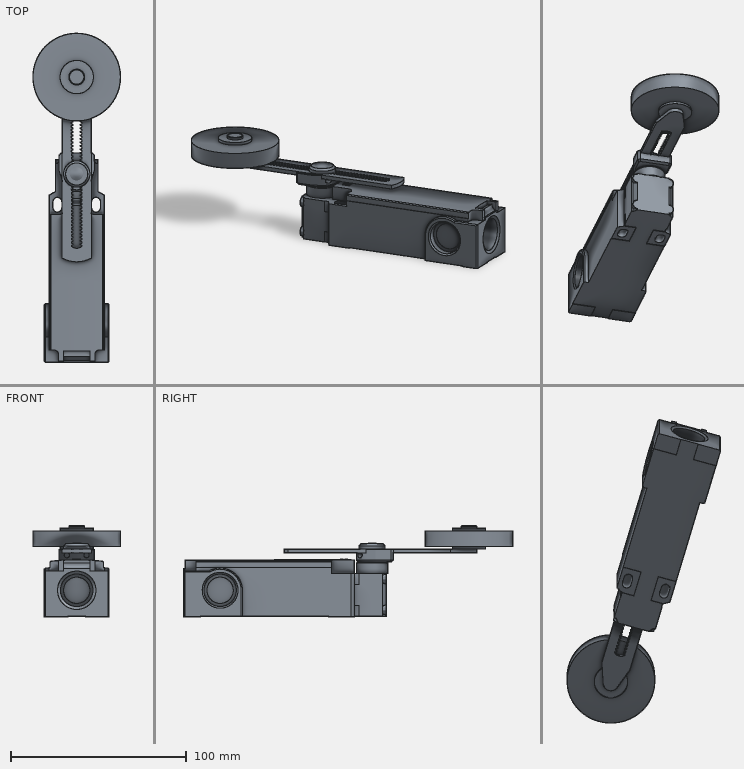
import cadquery as cq
import math


BODY_LENGTH = 97.3
BODY_HALF_WIDTH = 15.7
BODY_TOP = 28.1
SHOULDER_TOP = 24.8
SHOULDER_START = 84.3
BODY_NOSE_WIDTH = 24.4
NOSE_TAPER = 2.0

FOOT_HEIGHT = 0.35
FRONT_FOOT_LENGTH = 9.6
REAR_FOOT_LENGTH = 14.8
FOOT_CHANNEL_WIDTH = 10.2

WIDE_HALF_WIDTH = 18.5
LEDGE_TOP = 26.2
EDGE_CHAMFER = 0.7
PORT_Y = 20.8
PORT_Z = 15.2
PORT_BOSS_RADIUS = 12.7
PORT_RIM_DIAMETER = 20.4
PORT_BORE_DIAMETER = 18.5
PORT_FLOOR_DIAMETER = 15.0
SIDE_PORT_DEPTH = 5.0
FRONT_RIM_DIAMETER = 21.85
FRONT_PORT_DEPTH = 10.5
PORT_RIM_DEPTH = 0.8
PORT_FLOOR_STEP = 0.2

MOUNT_SLOT_X = 11.0
MOUNT_SLOT_Y = 89.8
MOUNT_SLOT_WIDTH = 5.0
MOUNT_SLOT_LENGTH = 8.3

LID_HALF_WIDTH = 15.3
LID_EDGE_TOP = 31.8
LID_EDGE_BEVEL = 0.6
LID_CROWN_TOP = 32.6
LID_TONGUE_HALF_WIDTH = 7.0
LID_TONGUE_RADIUS = 3.0
LID_FRONT_HALF_WIDTH = 10.3
LID_CORNER_DEPTH = 7.1
LID_CORNER_RADIUS = 2.8
LID_EAR_START = 0.8
LATCH_HALF_WIDTH = 7.5
LATCH_LENGTH = 6.4
LATCH_FLOOR = 29.8
LATCH_RIDGE = (3.4, 30.8)
LATCH_LIP = (1.1, 27.5)
LATCH_HOLLOW = 0.5
TAB_SIZE = (4.6, 4.0)
TAB_Y = 91.3
TAB_TOP = 33.1
TAB_GROOVE_WIDTH = 1.2

HEAD_HALF_WIDTH = 12.2
HEAD_END = 113.2
HEAD_PLATE_END = 115.5
HEAD_PLATE_BASE_HALF = 11.2
HEAD_SCREW_DIAMETER = 5.6
HEAD_SCREW_X = 9.2
HEAD_SCREW_Z = (4.0, 21.6)
HEAD_NOTCH_LENGTH = 2.7
HEAD_NOTCH_DEPTH = 0.2
HEAD_KEY_Z = (6.6, 18.5)

PIVOT_Y = 107.3
HUB_DIAMETER = 18.0
HUB_TOP = 30.7
NECK_DIAMETER = 17.0
CLAMP_BOTTOM = 31.4
CLAMP_TOP = 38.3
CLAMP_END = 119.4
CLAMP_HALF_WIDTH = 10.1
CLAMP_STRAIGHT_START = 109.5
CLAMP_WAIST_DROP = 2.5
CLAMP_CHAMFER = 1.4
CLAMP_BASE_CHAMFER = 1.1
CLAMP_HOLE_DIAMETER = 3.0
CLAMP_HOLE_X = 5.6
CLAMP_HOLE_Z = 35.2
CLAMP_HOLE_DEPTH = 6.0

ARM_BOTTOM = 36.5
ARM_TOP = 38.7
ARM_HALF_WIDTH = 8.3
ARM_START = 57.3
ARM_END_SAGITTA = 2.1
ARM_TAPER_START = 152.1
SLOT_START = 66.3
TOOTH_PITCH = 2.0
TOOTH_COUNT = 39
TOOTH_TIP_FLAT = 0.3
TOOTH_ROOT_FLAT = 0.7
TOOTH_ROOT_HALF = 3.0
TOOTH_TIP_HALF = 2.0
SLOT_END_BULGE = 1.3

BOLT_DIAMETER = 15.0
BOLT_TOP = 41.7
BOLT_CHAMFER = 1.2
BOLT_DOME_DIAMETER = 7.6
BOLT_DOME_HEIGHT = 0.5

ROLLER_Y = 162.5
ROLLER_DIAMETER = 50.0
ROLLER_BOTTOM = 40.0
ROLLER_TOP = 49.0
WASHER_DIAMETER = 19.0
WASHER_TOP = 50.6
PIN_DIAMETER = 9.0
PIN_TOP = 52.0
PIN_CHAMFER = 0.4


def box(x_range, y_range, z_range):
    """Box given by its limits along each axis."""
    size = [high - low for low, high in (x_range, y_range, z_range)]
    corner = (x_range[0], y_range[0], z_range[0])
    return cq.Workplane("XY").box(*size, centered=False).translate(corner)


def upright(diameter, y, bottom, top):
    """Vertical cylinder on the symmetry plane."""
    return cq.Workplane("XY", origin=(0, y, bottom)).circle(diameter / 2).extrude(top - bottom)


def along_y(diameter, x, z, start, length):
    """Cylinder running from start toward +Y."""
    plane = cq.Plane(origin=(x, start, z), xDir=(1, 0, 0), normal=(0, 1, 0))
    return cq.Workplane(plane).circle(diameter / 2).extrude(length)


def mirrored(shape):
    """The shape together with its mirror image across X = 0."""
    return shape.union(shape.mirror("YZ"))


def make_core():
    """Main body with lower shoulders at the rear and open corners at the front."""
    nose = BODY_NOSE_WIDTH / 2
    outline = [
        (-BODY_HALF_WIDTH, 0),
        (BODY_HALF_WIDTH, 0),
        (BODY_HALF_WIDTH, BODY_LENGTH - NOSE_TAPER),
        (nose, BODY_LENGTH),
        (-nose, BODY_LENGTH),
        (-BODY_HALF_WIDTH, BODY_LENGTH - NOSE_TAPER),
    ]
    core = cq.Workplane("XY").polyline(outline).close().extrude(BODY_TOP)
    reach = WIDE_HALF_WIDTH
    shoulder = box((-reach, reach), (SHOULDER_START, BODY_LENGTH), (SHOULDER_TOP, BODY_TOP))
    corner = box((LID_FRONT_HALF_WIDTH, reach), (0, LID_CORNER_DEPTH), (LEDGE_TOP, BODY_TOP))
    return core.cut(shoulder).cut(mirrored(corner))


def make_port_cheek():
    """Wide side wall around a side port: a flat ledge that rises into a round boss."""
    ledge_y = PORT_Y - math.sqrt(PORT_BOSS_RADIUS**2 - (LEDGE_TOP - PORT_Z) ** 2)
    diagonal = PORT_BOSS_RADIUS * math.sqrt(0.5)
    cheek = (
        cq.Workplane("YZ")
        .moveTo(0, 0)
        .lineTo(PORT_Y + PORT_BOSS_RADIUS, 0)
        .lineTo(PORT_Y + PORT_BOSS_RADIUS, PORT_Z)
        .threePointArc((PORT_Y + diagonal, PORT_Z + diagonal), (ledge_y, LEDGE_TOP))
        .lineTo(0, LEDGE_TOP)
        .close()
        .extrude(WIDE_HALF_WIDTH)
    )
    return cheek.faces(">X").edges("not <Z").chamfer(EDGE_CHAMFER)


def make_port_cutter(rim_diameter, depth):
    """Port with its mouth at Z = 0, running toward -Z to a stepped floor."""
    rim, bore, floor = rim_diameter / 2, PORT_BORE_DIAMETER / 2, PORT_FLOOR_DIAMETER / 2
    profile = [
        (0, 0),
        (rim, 0),
        (bore, -PORT_RIM_DEPTH),
        (bore, -depth + PORT_FLOOR_STEP),
        (floor, -depth + PORT_FLOOR_STEP),
        (floor, -depth),
        (0, -depth),
    ]
    return cq.Workplane("XZ").polyline(profile).close().revolve(360, (0, 0), (0, 1))


def cut_ports(housing):
    """One conduit port in each cheek and one in the front face."""
    side = make_port_cutter(PORT_RIM_DIAMETER, SIDE_PORT_DEPTH)
    side = side.rotate((0, 0, 0), (0, 1, 0), 90).translate((WIDE_HALF_WIDTH, PORT_Y, PORT_Z))
    front = make_port_cutter(FRONT_RIM_DIAMETER, FRONT_PORT_DEPTH)
    front = front.rotate((0, 0, 0), (1, 0, 0), 90).translate((0, 0, PORT_Z))
    return housing.cut(mirrored(side)).cut(front)


def cut_feet(housing):
    """Relieve the underside, leaving a pad at each corner."""
    reach = WIDE_HALF_WIDTH
    middle = (FRONT_FOOT_LENGTH, BODY_LENGTH - REAR_FOOT_LENGTH)
    relief = box((-reach, reach), middle, (0, FOOT_HEIGHT))
    half_channel = FOOT_CHANNEL_WIDTH / 2
    channel = box((-half_channel, half_channel), (0, BODY_LENGTH), (0, FOOT_HEIGHT))
    return housing.cut(relief).cut(channel)


def cut_mount_slots(core):
    """Two vertical mounting slots through the rear shoulders."""
    slots = (
        cq.Workplane("XY")
        .pushPoints([(-MOUNT_SLOT_X, MOUNT_SLOT_Y), (MOUNT_SLOT_X, MOUNT_SLOT_Y)])
        .slot2D(MOUNT_SLOT_LENGTH, MOUNT_SLOT_WIDTH, 90)
        .extrude(SHOULDER_TOP)
    )
    return core.cut(slots)


def make_lid():
    """Crowned lid, narrowed to a tongue between the shoulders and notched at the front corners."""
    crown_half = LID_HALF_WIDTH - LID_EDGE_BEVEL
    crowned = (
        cq.Workplane("XZ")
        .moveTo(-LID_HALF_WIDTH, SHOULDER_TOP)
        .lineTo(LID_HALF_WIDTH, SHOULDER_TOP)
        .lineTo(LID_HALF_WIDTH, LID_EDGE_TOP - LID_EDGE_BEVEL)
        .lineTo(crown_half, LID_EDGE_TOP)
        .threePointArc((0, LID_CROWN_TOP), (-crown_half, LID_EDGE_TOP))
        .lineTo(-LID_HALF_WIDTH, LID_EDGE_TOP - LID_EDGE_BEVEL)
        .close()
        .extrude(-BODY_LENGTH)
    )
    height = (SHOULDER_TOP, LID_CROWN_TOP)
    rear = box((LID_TONGUE_HALF_WIDTH, WIDE_HALF_WIDTH), (SHOULDER_START, BODY_LENGTH), height)
    rear = rear.edges("|Z and <X and <Y").fillet(LID_TONGUE_RADIUS)
    front_height = (LEDGE_TOP, LID_CROWN_TOP)
    front = box((LID_FRONT_HALF_WIDTH, WIDE_HALF_WIDTH), (0, LID_CORNER_DEPTH), front_height)
    front = front.edges("|Z and <X and >Y").fillet(LID_CORNER_RADIUS)
    lid = crowned.cut(mirrored(rear)).cut(mirrored(front))
    return lid.union(make_tab())


def cut_latch(housing):
    """Finger recess in the front edge of the lid: a trough, a ridge, then a hollow down to a lip."""
    ridge_y, ridge_z = LATCH_RIDGE
    lip_y, lip_z = LATCH_LIP
    middle = ((ridge_y + lip_y) / 2 + LATCH_HOLLOW, (ridge_z + lip_z) / 2 - LATCH_HOLLOW)
    recess = (
        cq.Workplane("YZ")
        .moveTo(LATCH_LENGTH, LID_CROWN_TOP)
        .lineTo(LATCH_LENGTH, LATCH_FLOOR)
        .lineTo(ridge_y, ridge_z)
        .threePointArc(middle, (lip_y, lip_z))
        .lineTo(0, lip_z)
        .lineTo(0, LID_CROWN_TOP)
        .close()
        .extrude(LATCH_HALF_WIDTH, both=True)
    )
    ear_x = (LATCH_HALF_WIDTH, LID_FRONT_HALF_WIDTH)
    ear_front = box(ear_x, (0, LID_EAR_START), (LEDGE_TOP, LID_CROWN_TOP))
    return housing.cut(recess).cut(mirrored(ear_front))


def make_tab():
    """Small raised grip near the rear end of the lid, with a groove across it."""
    width, length = TAB_SIZE
    across = (-width / 2, width / 2)
    tab = box(across, (TAB_Y - length / 2, TAB_Y + length / 2), (SHOULDER_TOP, TAB_TOP))
    groove_half = TAB_GROOVE_WIDTH / 2
    return tab.cut(box(across, (TAB_Y - groove_half, TAB_Y + groove_half), (LID_CROWN_TOP, TAB_TOP)))


def make_head():
    """Head block with keyed sides, a screwed end plate and the shaft hub."""
    wide = HEAD_HALF_WIDTH
    head = box((-wide, wide), (BODY_LENGTH, HEAD_END), (FOOT_HEIGHT, SHOULDER_TOP))
    notch_x = (wide - HEAD_NOTCH_DEPTH, wide)
    notch_y = (BODY_LENGTH, BODY_LENGTH + HEAD_NOTCH_LENGTH)
    for notch_z in ((FOOT_HEIGHT, HEAD_KEY_Z[0]), (HEAD_KEY_Z[1], SHOULDER_TOP)):
        head = head.cut(mirrored(box(notch_x, notch_y, notch_z)))
    base, crest = HEAD_PLATE_BASE_HALF, HEAD_SCREW_X
    plate_outline = [(-base, HEAD_END), (base, HEAD_END), (crest, HEAD_PLATE_END), (-crest, HEAD_PLATE_END)]
    plate = cq.Workplane("XY", origin=(0, 0, FOOT_HEIGHT)).polyline(plate_outline).close()
    head = head.union(plate.extrude(SHOULDER_TOP - FOOT_HEIGHT))
    for z in HEAD_SCREW_Z:
        screw = along_y(HEAD_SCREW_DIAMETER, HEAD_SCREW_X, z, HEAD_END, HEAD_PLATE_END - HEAD_END)
        head = head.union(mirrored(screw))
    head = head.union(upright(HUB_DIAMETER, PIVOT_Y, SHOULDER_TOP, HUB_TOP))
    return head.union(upright(NECK_DIAMETER, PIVOT_Y, HUB_TOP, CLAMP_BOTTOM))


def make_clamp():
    """Block around the pivot, with a channel that holds the arm."""
    radius = HUB_DIAMETER / 2
    wide = CLAMP_HALF_WIDTH
    waist_x = math.sqrt(radius**2 - CLAMP_WAIST_DROP**2)
    waist_y = PIVOT_Y - CLAMP_WAIST_DROP
    clamp = (
        cq.Workplane("XY", origin=(0, 0, CLAMP_BOTTOM))
        .moveTo(-waist_x, waist_y)
        .threePointArc((0, PIVOT_Y - radius), (waist_x, waist_y))
        .lineTo(wide, CLAMP_STRAIGHT_START)
        .lineTo(wide, CLAMP_END - CLAMP_CHAMFER)
        .lineTo(wide - CLAMP_CHAMFER, CLAMP_END)
        .lineTo(CLAMP_CHAMFER - wide, CLAMP_END)
        .lineTo(-wide, CLAMP_END - CLAMP_CHAMFER)
        .lineTo(-wide, CLAMP_STRAIGHT_START)
        .close()
        .extrude(CLAMP_TOP - CLAMP_BOTTOM)
        .faces("<Z")
        .chamfer(CLAMP_BASE_CHAMFER)
    )
    channel_y = (PIVOT_Y - HUB_DIAMETER, CLAMP_END)
    channel = box((-ARM_HALF_WIDTH, ARM_HALF_WIDTH), channel_y, (ARM_BOTTOM, CLAMP_TOP))
    hole_start = PIVOT_Y - radius
    hole = along_y(CLAMP_HOLE_DIAMETER, CLAMP_HOLE_X, CLAMP_HOLE_Z, hole_start, CLAMP_HOLE_DEPTH)
    return clamp.cut(channel).cut(mirrored(hole))


def make_arm():
    """Flat arm: bowed free end, and a taper tangent to the round roller end."""
    radius = PIN_DIAMETER / 2
    reach_x, reach_y = ARM_HALF_WIDTH, ROLLER_Y - ARM_TAPER_START
    tangent = math.atan2(-reach_y, reach_x) + math.acos(radius / math.hypot(reach_x, reach_y))
    tangent_x = radius * math.cos(tangent)
    tangent_y = ROLLER_Y + radius * math.sin(tangent)
    arc_y = ARM_START + ARM_END_SAGITTA
    arm = (
        cq.Workplane("XY", origin=(0, 0, ARM_BOTTOM))
        .moveTo(-ARM_HALF_WIDTH, arc_y)
        .threePointArc((0, ARM_START), (ARM_HALF_WIDTH, arc_y))
        .lineTo(ARM_HALF_WIDTH, ARM_TAPER_START)
        .lineTo(tangent_x, tangent_y)
        .threePointArc((0, ROLLER_Y + radius), (-tangent_x, tangent_y))
        .lineTo(-ARM_HALF_WIDTH, ARM_TAPER_START)
        .close()
        .extrude(ARM_TOP - ARM_BOTTOM)
    )
    return arm.cut(make_toothed_slot())


def make_toothed_slot():
    """Slot whose long sides carry trapezoidal teeth and whose ends are bowed."""
    end = SLOT_START + TOOTH_COUNT * TOOTH_PITCH
    right_side = []
    for tooth in range(TOOTH_COUNT):
        root_y = SLOT_START + tooth * TOOTH_PITCH
        tip_y = root_y + TOOTH_PITCH / 2
        right_side.append((TOOTH_ROOT_HALF, root_y + TOOTH_ROOT_FLAT / 2))
        right_side.append((TOOTH_TIP_HALF, tip_y - TOOTH_TIP_FLAT / 2))
        right_side.append((TOOTH_TIP_HALF, tip_y + TOOTH_TIP_FLAT / 2))
        right_side.append((TOOTH_ROOT_HALF, root_y + TOOTH_PITCH - TOOTH_ROOT_FLAT / 2))
    right_side.append((TOOTH_ROOT_HALF, end))
    left_side = [(-x, y) for x, y in reversed(right_side[:-1])]
    slot = (
        cq.Workplane("XY", origin=(0, 0, ARM_BOTTOM))
        .moveTo(-TOOTH_ROOT_HALF, SLOT_START)
        .threePointArc((0, SLOT_START - SLOT_END_BULGE), (TOOTH_ROOT_HALF, SLOT_START))
    )
    for point in right_side:
        slot = slot.lineTo(*point)
    slot = slot.threePointArc((0, end + SLOT_END_BULGE), (-TOOTH_ROOT_HALF, end))
    for point in left_side:
        slot = slot.lineTo(*point)
    return slot.close().extrude(ARM_TOP - ARM_BOTTOM)


def make_bolt():
    """Clamping bolt head with a low dome in the middle."""
    head = upright(BOLT_DIAMETER, PIVOT_Y, ARM_BOTTOM, BOLT_TOP).faces(">Z").chamfer(BOLT_CHAMFER)
    dome_half = BOLT_DOME_DIAMETER / 2
    sphere_radius = (dome_half**2 + BOLT_DOME_HEIGHT**2) / (2 * BOLT_DOME_HEIGHT)
    sphere_center = BOLT_DOME_HEIGHT - sphere_radius
    middle_height = sphere_center + math.sqrt(sphere_radius**2 - (dome_half / 2) ** 2)
    dome = (
        cq.Workplane("XZ")
        .moveTo(0, 0)
        .lineTo(dome_half, 0)
        .threePointArc((dome_half / 2, middle_height), (0, BOLT_DOME_HEIGHT))
        .close()
        .revolve(360, (0, 0), (0, 1))
        .translate((0, PIVOT_Y, BOLT_TOP))
    )
    return head.union(dome)


def make_roller():
    """Roller held between washers on its pin."""
    roller = upright(ROLLER_DIAMETER, ROLLER_Y, ROLLER_BOTTOM, ROLLER_TOP)
    washers = upright(WASHER_DIAMETER, ROLLER_Y, ARM_TOP, WASHER_TOP)
    pin = upright(PIN_DIAMETER, ROLLER_Y, ARM_BOTTOM, PIN_TOP).faces(">Z").chamfer(PIN_CHAMFER)
    return roller.union(washers).union(pin)


core = cut_mount_slots(make_core()).union(mirrored(make_port_cheek()))
housing = cut_latch(cut_ports(cut_feet(core.union(make_lid()))))

lever = make_clamp().union(make_arm()).union(make_bolt()).union(make_roller())

result = housing.union(make_head()).union(lever)